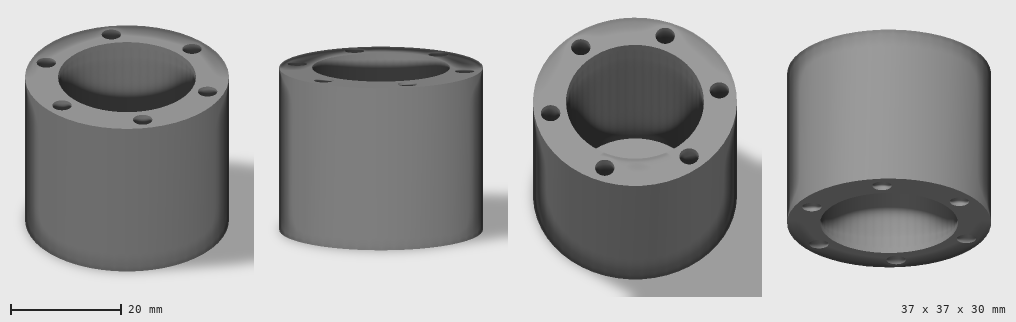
import cadquery as cq

outer_diameter = 37.0
bore_diameter = 25.0
height = 30.0

hole_count = 6
hole_diameter = 3.5
hole_circle_diameter = 31.0

sleeve = (
    cq.Workplane("XY")
    .circle(outer_diameter / 2)
    .circle(bore_diameter / 2)
    .extrude(height)
)

hole_cutters = (
    cq.Workplane("XY")
    .polarArray(hole_circle_diameter / 2, 0, 360, hole_count)
    .circle(hole_diameter / 2)
    .extrude(height)
)

result = sleeve.cut(hole_cutters)